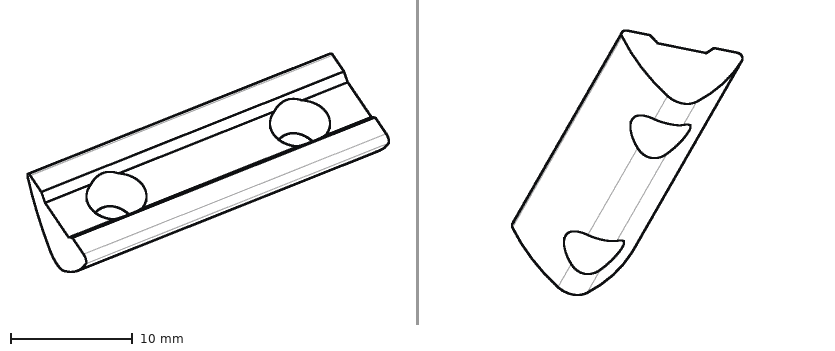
import cadquery as cq
import math

length = 28.0
width = 10.5
height = 6.3

edge_radius = 0.5
nose_radius = 1.95
flank_radius = 15.0

channel_floor_width = 4.2
channel_depth = 0.67

hole_diameter = 4.93
hole_spacing = 16.97

top = height / 2
bottom = -height / 2


def point_from(center, radius, direction):
    """Point at a distance from a center, along a unit direction."""
    return (center[0] + radius * direction[0], center[1] + radius * direction[1])


def mirrored(point):
    return (-point[0], point[1])


def make_bar():
    edge_center = (width / 2 - edge_radius, top - edge_radius)
    nose_center = (0, bottom + nose_radius)
    to_edge = flank_radius - edge_radius
    to_nose = flank_radius - nose_radius
    dx = edge_center[0] - nose_center[0]
    dz = edge_center[1] - nose_center[1]
    span = math.hypot(dx, dz)
    along = (to_nose**2 - to_edge**2 + span**2) / (2 * span)
    across = math.sqrt(to_nose**2 - along**2)
    flank_center = (
        nose_center[0] + (along * dx - across * dz) / span,
        nose_center[1] + (along * dz + across * dx) / span,
    )

    edge_angle = math.atan2(edge_center[1] - flank_center[1], edge_center[0] - flank_center[0])
    nose_angle = math.atan2(nose_center[1] - flank_center[1], nose_center[0] - flank_center[0])

    def direction(angle):
        return (math.cos(angle), math.sin(angle))

    edge_top = (edge_center[0], top)
    edge_middle = point_from(edge_center, edge_radius, direction((edge_angle + math.pi / 2) / 2))
    flank_top = point_from(flank_center, flank_radius, direction(edge_angle))
    flank_middle = point_from(flank_center, flank_radius, direction((edge_angle + nose_angle) / 2))
    flank_bottom = point_from(flank_center, flank_radius, direction(nose_angle))

    profile = (
        cq.Workplane("XZ")
        .moveTo(*mirrored(edge_top))
        .lineTo(*edge_top)
        .threePointArc(edge_middle, flank_top)
        .threePointArc(flank_middle, flank_bottom)
        .threePointArc((0, bottom), mirrored(flank_bottom))
        .threePointArc(mirrored(flank_middle), mirrored(flank_top))
        .threePointArc(mirrored(edge_middle), mirrored(edge_top))
        .close()
    )
    return profile.extrude(length / 2, both=True)


def make_channel():
    half_floor = channel_floor_width / 2
    half_mouth = half_floor + channel_depth
    floor = top - channel_depth
    return (
        cq.Workplane("XZ")
        .polyline([(-half_mouth, top), (-half_floor, floor), (half_floor, floor), (half_mouth, top)])
        .close()
        .extrude(length / 2, both=True)
    )


def make_holes():
    return (
        cq.Workplane("XY", origin=(0, 0, bottom))
        .pushPoints([(0, -hole_spacing / 2), (0, hole_spacing / 2)])
        .circle(hole_diameter / 2)
        .extrude(height)
    )


result = make_bar().cut(make_channel()).cut(make_holes())